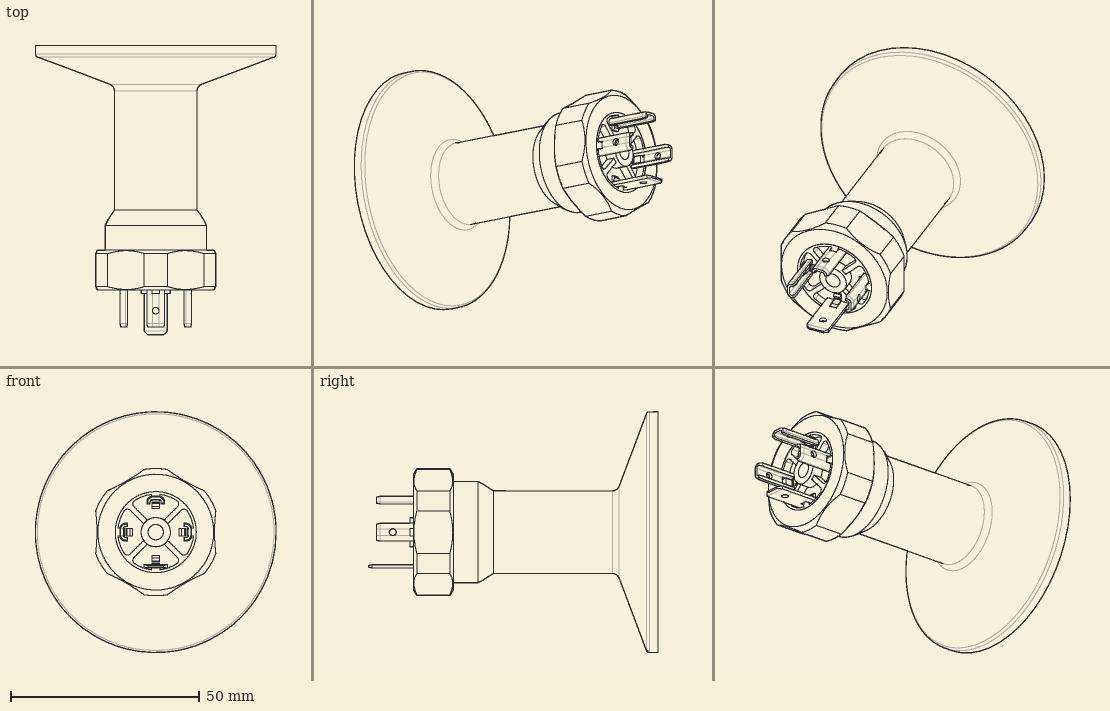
import cadquery as cq
import math


disc_radius = 64.0 / 2
rim_end = 2.9
rim_round = 0.85
cone_run_per_rise = 2.66
neck_radius = 22.0 / 2
cone_end = rim_end + (disc_radius - neck_radius) / cone_run_per_rise
neck_fillet = 1.85
flare_start = 43.75
flare_end = 47.8
flare_sag = 0.15
collar_radius = 27.0 / 2

nut_back = 54.4
nut_front = 65.0
nut_corner_radius = 16.9
nut_face_radius = 15.4
nut_chamfer_length = 0.9
nut_flat_mid_radius = 15.6
nut_corner_half_angle = 10.5
nut_sides = 6

socket_radius = 21.5 / 2
socket_recess = 0.1
pocket_depth = 2.3
pocket_outer_radius = 10.1
pocket_corner_fillet = 1.0
rib_width = 1.4
hub_radius = 7.8 / 2
hub_rise = 0.9
hub_bore_diameter = 4.1
hub_bore_depth = 6.15
socket_face = nut_front - socket_recess
pocket_floor = socket_face - pocket_depth
hub_front = nut_front + hub_rise
root_depth = 0.8
root_station = pocket_floor - root_depth

contact_outer_radius = 9.5
contact_thickness = 0.9
contact_inner_radius = contact_outer_radius - contact_thickness
contact_hole_diameter = 1.8
tip_bevel_length = 1.0
tip_bevel_depth = 0.2
key_width = 2.15

pin_width = 4.8
pin_depth = 2.1
pin_bend_radius = 1.5
pin_tip = 74.8
pin_hole_station = 70.45
pin_angles = (-90, 0, 90)

blade_width = 6.2
blade_tip = 76.9
blade_hole_station = 72.4
blade_corner_chamfer = 1.0
blade_angle = 180

catch_width = 1.9
catch_inner_radius = 6.2
catch_outer_radius = 7.9
catch_shoulder_radius = 7.6
catch_ridge_radius = 6.85
catch_base_height = 0.45
catch_ridge_height = 0.9
foot_thickness = 0.3


def face_plane(station):
    """Sketch plane across the axis: local x is X, local y is Z, extrusion runs toward -Y."""
    return cq.Workplane("XZ", origin=(0, -station, 0))


def disk(station_from, station_to, radius):
    """Cylinder on the axis between two stations."""
    return face_plane(station_from).circle(radius).extrude(station_to - station_from)


def around_axis(shape, angle):
    """Turn a feature made at +Z about the axis."""
    return shape.rotate((0, 0, 0), (0, 1, 0), angle)


def polar(radius, degrees_from_z):
    angle = math.radians(degrees_from_z)
    return (radius * math.sin(angle), radius * math.cos(angle))


def edges_at(station):
    """Selector for the circular edges of the body that lie at one station."""
    margin = 0.1
    return cq.selectors.BoxSelector(
        (-disc_radius, -station - margin, -disc_radius),
        (disc_radius, -station + margin, disc_radius),
    )


def make_body():
    """Disc, cone, stem and collar as one turned profile."""
    body = (
        cq.Workplane("XY")
        .lineTo(disc_radius, 0)
        .lineTo(disc_radius, -rim_end)
        .lineTo(neck_radius, -cone_end)
        .lineTo(neck_radius, -flare_start)
        .sagittaArc((collar_radius, -flare_end), flare_sag)
        .lineTo(collar_radius, -nut_back)
        .lineTo(0, -nut_back)
        .close()
        .revolve(360, (0, 0, 0), (0, 1, 0))
    )
    return body.edges(edges_at(cone_end)).fillet(neck_fillet).edges(edges_at(rim_end)).fillet(rim_round)


def make_nut():
    """Hexagonal nut with rounded corners and slightly hollow sides, chamfered at both ends."""
    pitch = 360 / nut_sides
    outline = face_plane(nut_back).moveTo(*polar(nut_corner_radius, -nut_corner_half_angle))
    for side in range(nut_sides):
        corner = side * pitch
        outline = outline.threePointArc(
            polar(nut_corner_radius, corner),
            polar(nut_corner_radius, corner + nut_corner_half_angle),
        ).threePointArc(
            polar(nut_flat_mid_radius, corner + pitch / 2),
            polar(nut_corner_radius, corner + pitch - nut_corner_half_angle),
        )
    prism = outline.close().extrude(nut_front - nut_back)
    envelope = (
        disk(nut_back, nut_front, nut_corner_radius)
        .faces("<Y or >Y")
        .chamfer(nut_chamfer_length, nut_corner_radius - nut_face_radius)
    )
    return prism.intersect(envelope)


def make_pocket():
    """Quarter pocket between two diagonal ribs, with a key left standing on its outer wall."""
    rib_shift = rib_width / 2 * math.sqrt(2)
    reach = 2 * pocket_outer_radius
    wedge = (
        face_plane(pocket_floor)
        .polyline([(0, rib_shift), (reach, reach + rib_shift), (-reach, reach + rib_shift)])
        .close()
        .extrude(pocket_depth)
    )
    sector = wedge.intersect(disk(pocket_floor, socket_face, pocket_outer_radius))
    sector = sector.edges("|Y").edges(">X or <X").fillet(pocket_corner_fillet)
    key = (
        face_plane(pocket_floor)
        .center(0, (contact_outer_radius + pocket_outer_radius) / 2)
        .rect(key_width, pocket_outer_radius - contact_outer_radius)
        .extrude(pocket_depth)
    )
    return sector.cut(key)


def contact_hole(station):
    """Round hole along Z through a contact's broad face."""
    return (
        cq.Workplane("XY", origin=(0, -station, 0))
        .circle(contact_hole_diameter / 2)
        .extrude(disc_radius)
    )


def blade_bevel(face_radius, depth):
    """Wedge that slopes one broad face of the blade over the last stretch before its tip."""
    return (
        cq.Workplane("YZ")
        .polyline([
            (-blade_tip, face_radius),
            (-blade_tip, face_radius - depth),
            (tip_bevel_length - blade_tip, face_radius),
        ])
        .close()
        .extrude(blade_width, both=True)
    )


def make_pin():
    """Channel-shaped pin, open toward the axis."""
    bevel_angle = math.degrees(math.atan(tip_bevel_depth / tip_bevel_length))
    bevel_start = pin_tip - tip_bevel_length

    def channel_outline(station, half_width, top, bend):
        bottom = contact_outer_radius - pin_depth
        return (
            face_plane(station)
            .moveTo(-half_width, bottom)
            .lineTo(-half_width, top - bend)
            .radiusArc((-half_width + bend, top), bend)
            .lineTo(half_width - bend, top)
            .radiusArc((half_width, top - bend), bend)
            .lineTo(half_width, bottom)
            .close()
        )

    def outside_outline(station):
        return channel_outline(station, pin_width / 2, contact_outer_radius, pin_bend_radius)

    shank = outside_outline(root_station).extrude(bevel_start - root_station)
    tip = outside_outline(bevel_start).extrude(tip_bevel_length, taper=bevel_angle)
    inside = channel_outline(
        root_station,
        pin_width / 2 - contact_thickness,
        contact_inner_radius,
        pin_bend_radius - contact_thickness,
    ).extrude(pin_tip - root_station)
    return shank.union(tip).cut(inside).cut(contact_hole(pin_hole_station))


def make_blade():
    """Flat blade with clipped corners and a bevelled tip."""
    blade = (
        face_plane(root_station)
        .center(0, (contact_inner_radius + contact_outer_radius) / 2)
        .rect(blade_width, contact_thickness)
        .extrude(blade_tip - root_station)
        .faces("<Y")
        .edges("|Z")
        .chamfer(blade_corner_chamfer)
    )
    blade = blade.cut(blade_bevel(contact_outer_radius, tip_bevel_depth))
    blade = blade.cut(blade_bevel(contact_inner_radius, -tip_bevel_depth))
    return blade.cut(contact_hole(blade_hole_station))


def make_catch():
    """Ridged catch on the pocket floor and the foot on the contact's inner face."""
    base = -pocket_floor - catch_base_height
    ridge = (
        cq.Workplane("YZ")
        .polyline([
            (-root_station, catch_inner_radius),
            (base, catch_inner_radius),
            (-pocket_floor - catch_ridge_height, catch_ridge_radius),
            (base, catch_shoulder_radius),
            (base, catch_outer_radius),
            (-root_station, catch_outer_radius),
        ])
        .close()
        .extrude(catch_width / 2, both=True)
    )
    foot = (
        face_plane(root_station)
        .center(0, contact_inner_radius)
        .rect(catch_width, 2 * foot_thickness)
        .extrude(socket_face - root_station)
    )
    return ridge.union(foot)


def make_window():
    """Opening through the contact's web, from the socket face up to the level of the hub front."""
    return (
        face_plane(socket_face)
        .center(0, (contact_inner_radius + contact_outer_radius) / 2)
        .rect(catch_width, 2 * contact_thickness)
        .extrude(hub_front - socket_face)
    )


result = make_body().union(make_nut())
result = result.cut(disk(socket_face, nut_front, socket_radius))

pocket = make_pocket()
catch = make_catch()
window = make_window()
pin = make_pin().union(catch).cut(window)
blade = make_blade().union(catch).cut(window)

for angle in (*pin_angles, blade_angle):
    result = result.cut(around_axis(pocket, angle))
for angle in pin_angles:
    result = result.union(around_axis(pin, angle))
result = result.union(around_axis(blade, blade_angle))

result = result.union(disk(root_station, hub_front, hub_radius))
result = result.cut(disk(hub_front - hub_bore_depth, hub_front, hub_bore_diameter / 2))